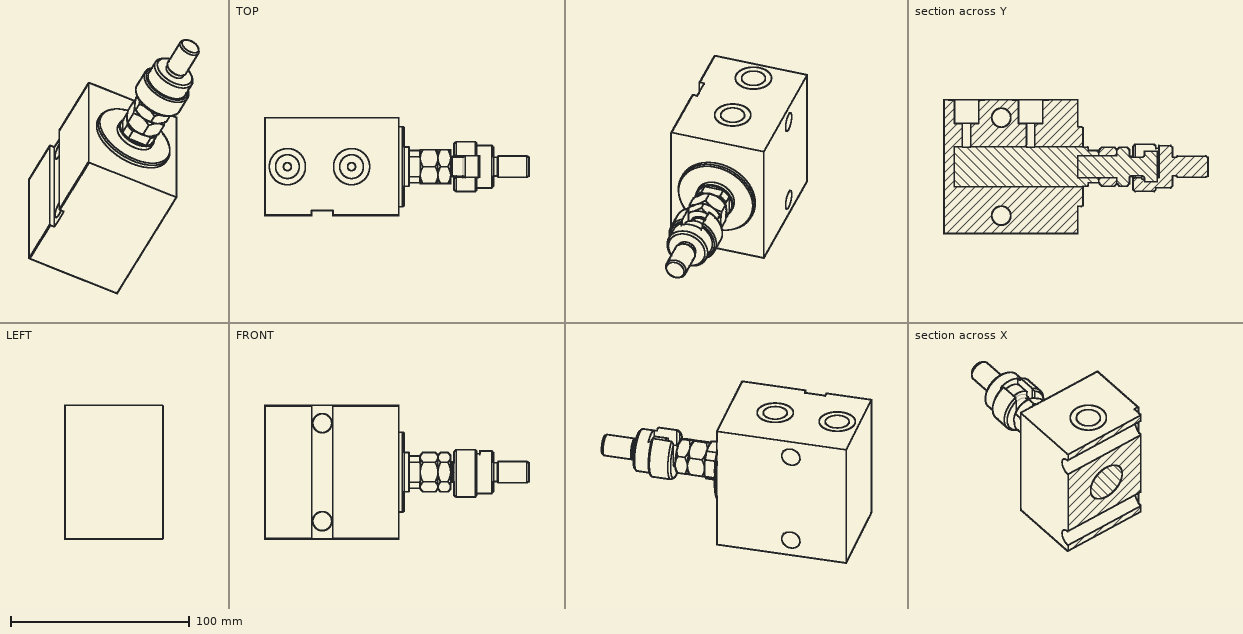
import cadquery as cq
import math


block_length = 75.0
block_depth = 55.0
block_height = 75.0
block_edge_chamfer = 0.5

keyway_center_x = 32.1
keyway_width = 12.0
keyway_depth = 3.0

mount_hole_diameter = 10.5
mount_hole_spacing = 54.9

port_positions_x = (12.6, 48.5)
port_spotface_diameter = 20.3
port_spotface_depth = 0.1
port_thread_diameter = 13.3
port_thread_depth = 13.3
port_feed_diameter = 4.5

flange_diameter = 45.0
flange_thickness = 3.0
flange_chamfer_length = 1.0
flange_chamfer_depth = 0.6

rod_diameter = 22.0
rod_inner_end_x = 5.9
rod_shoulder_length = 3.0
rod_shoulder_x = block_length + flange_thickness + rod_shoulder_length
rod_shoulder_chamfer = 0.5
rod_tip_diameter = 21.3
rod_tip_length = 6.0
rod_tip_chamfer = 0.3
rod_across_flats = 18.2
rod_tip_x = rod_shoulder_x + rod_tip_length

thread_diameter = 12.0
thread_engagement = 11.8
hex_across_flats = 19.1
nut_thickness = 9.9
stud_hex_thickness = 7.1
stud_hex_x = rod_tip_x + nut_thickness
stud_collar_diameter = 11.5
stud_collar_length = 0.9
stud_collar_x = stud_hex_x + stud_hex_thickness
stud_neck_diameter = 10.7
stud_neck_fillet = 1.5
stud_head_diameter = 17.5
stud_head_thickness = 7.3
stud_head_x = 112.3

coupling_x = 105.8
jaw_diameter = 28.0
jaw_length = 12.9
jaw_front_chamfer_length = 1.3
jaw_front_chamfer_depth = 1.0
jaw_rear_chamfer = 0.9
hub_diameter = 24.0
hub_end_x = 128.2
hub_chamfer = 1.2
slot_width = 12.0
slot_end_x = 120.5
slot_mouth_chamfer_depth = 0.6
undercut_diameter = 10.7
undercut_length = 2.0
thread_root_chamfer = 0.6
thread_end_chamfer_length = 1.2
thread_end_chamfer_depth = 0.7
coupling_end_x = 148.0


def axis_plane(x):
    """Workplane square to the rod axis, facing +X, with its first direction along +Z."""
    return cq.Workplane(cq.Plane(origin=(x, 0, 0), xDir=(0, 0, 1), normal=(1, 0, 0)))


def rod_cylinder(start_x, end_x, diameter):
    """Cylinder on the rod axis between two X positions."""
    return axis_plane(start_x).circle(diameter / 2).extrude(end_x - start_x)


def beveled_cylinder(start_x, end_x, diameter, start_bevel=(0, 0), end_bevel=(0, 0)):
    """Cylinder on the rod axis whose rims are bevelled; a bevel is (length along axis, radial depth)."""
    radius = diameter / 2
    start_length, start_depth = start_bevel
    end_length, end_depth = end_bevel
    profile = cq.Workplane("XZ").moveTo(start_x, 0).lineTo(start_x, radius - start_depth)
    if start_length > 0:
        profile = profile.lineTo(start_x + start_length, radius)
    profile = profile.lineTo(end_x - end_length, radius)
    if end_length > 0:
        profile = profile.lineTo(end_x, radius - end_depth)
    return profile.lineTo(end_x, 0).close().revolve(360, (0, 0, 0), (1, 0, 0))


def chamfered_hex(start_x, thickness):
    """Hexagon with corners toward +Z and -Z, its corners bevelled at 45 degrees on both ends."""
    corner_radius = hex_across_flats / math.sqrt(3)
    bevel = corner_radius - hex_across_flats / 2
    hexagon = axis_plane(start_x).polygon(6, 2 * corner_radius).extrude(thickness)
    bevelled_round = rod_cylinder(start_x, start_x + thickness, 2 * corner_radius).edges().chamfer(bevel)
    return hexagon.intersect(bevelled_round)


def make_block():
    block = cq.Workplane("XY").box(block_length, block_depth, block_height, centered=(False, True, True))
    block = block.faces("<Y").edges("|X").chamfer(block_edge_chamfer)

    keyway = (
        cq.Workplane("XY")
        .box(keyway_width, 2 * keyway_depth, block_height)
        .translate((keyway_center_x, -block_depth / 2, 0))
    )
    block = block.cut(keyway)

    mount_holes = (
        cq.Workplane("XZ", origin=(keyway_center_x, 0, 0))
        .pushPoints([(0, -mount_hole_spacing / 2), (0, mount_hole_spacing / 2)])
        .circle(mount_hole_diameter / 2)
        .extrude(block_depth / 2, both=True)
    )
    block = block.cut(mount_holes)

    flange = beveled_cylinder(
        block_length,
        block_length + flange_thickness,
        flange_diameter,
        end_bevel=(flange_chamfer_length, flange_chamfer_depth),
    )
    block = block.union(flange)

    for port_x in port_positions_x:
        block = block.cut(make_port_cutter(port_x))
    return block.cut(rod_cylinder(rod_inner_end_x, block_length + flange_thickness, rod_diameter))


def make_port_cutter(port_x):
    """Spotface, threaded bore and feed hole reaching down into the rod bore."""
    top = cq.Workplane("XY", origin=(port_x, 0, block_height / 2))
    spotface = top.circle(port_spotface_diameter / 2).extrude(-port_spotface_depth)
    thread = top.circle(port_thread_diameter / 2).extrude(-port_thread_depth)
    feed = top.circle(port_feed_diameter / 2).extrude(-block_height / 2)
    return spotface.union(thread).union(feed)


def make_rod():
    shaft = rod_cylinder(rod_inner_end_x, rod_shoulder_x, rod_diameter)
    shaft = shaft.faces(">X").edges().chamfer(rod_shoulder_chamfer)

    tip = rod_cylinder(rod_shoulder_x, rod_tip_x, rod_tip_diameter)
    tip = tip.faces(">X").edges().chamfer(rod_tip_chamfer)
    flats = axis_plane(rod_shoulder_x).rect(rod_across_flats, rod_across_flats).extrude(rod_tip_length)
    rod = shaft.union(tip.intersect(flats))
    return rod.cut(rod_cylinder(rod_tip_x - thread_engagement, rod_tip_x, thread_diameter))


def make_lock_nut():
    nut = chamfered_hex(rod_tip_x, nut_thickness)
    return nut.cut(rod_cylinder(rod_tip_x, stud_hex_x, thread_diameter))


def make_stud():
    neck_x = stud_collar_x + stud_collar_length
    head = rod_cylinder(stud_head_x, stud_head_x + stud_head_thickness, stud_head_diameter)
    headed_neck = rod_cylinder(neck_x, stud_head_x, stud_neck_diameter).union(head)
    root_edge = headed_neck.faces("<X[1]").edges(cq.selectors.RadiusNthSelector(0))
    headed_neck = root_edge.fillet(stud_neck_fillet)

    thread = rod_cylinder(rod_tip_x - thread_engagement, stud_hex_x, thread_diameter)
    collar = rod_cylinder(stud_collar_x, neck_x, stud_collar_diameter)
    return chamfered_hex(stud_hex_x, stud_hex_thickness).union(thread).union(collar).union(headed_neck)


def make_slot_cutter():
    """Round-bottomed slot, open toward +Z, that takes the neck of the stud; its mouth is bevelled."""
    half_width = slot_width / 2
    mouth_half_width = half_width + slot_mouth_chamfer_depth
    mouth_end_x = coupling_x + jaw_front_chamfer_length

    round_bottom = rod_cylinder(coupling_x, slot_end_x, slot_width)
    mouth_cone = cq.Solid.makeCone(
        mouth_half_width,
        half_width,
        jaw_front_chamfer_length,
        pnt=cq.Vector(coupling_x, 0, 0),
        dir=cq.Vector(1, 0, 0),
    )
    open_top = (
        cq.Workplane("XY")
        .moveTo(coupling_x, -mouth_half_width)
        .lineTo(mouth_end_x, -half_width)
        .lineTo(slot_end_x, -half_width)
        .lineTo(slot_end_x, half_width)
        .lineTo(mouth_end_x, half_width)
        .lineTo(coupling_x, mouth_half_width)
        .close()
        .extrude(jaw_diameter)
    )
    return open_top.union(round_bottom).union(cq.Workplane(mouth_cone))


def make_coupling():
    jaw_end_x = coupling_x + jaw_length
    jaw = beveled_cylinder(
        coupling_x,
        jaw_end_x,
        jaw_diameter,
        start_bevel=(jaw_front_chamfer_length, jaw_front_chamfer_depth),
        end_bevel=(jaw_rear_chamfer, jaw_rear_chamfer),
    )
    hub = beveled_cylinder(jaw_end_x, hub_end_x, hub_diameter, end_bevel=(hub_chamfer, hub_chamfer))

    thread_x = hub_end_x + undercut_length
    undercut = rod_cylinder(hub_end_x, thread_x, undercut_diameter)
    thread = beveled_cylinder(
        thread_x,
        coupling_end_x,
        thread_diameter,
        start_bevel=(thread_root_chamfer, thread_root_chamfer),
        end_bevel=(thread_end_chamfer_length, thread_end_chamfer_depth),
    )
    coupling = jaw.union(hub).union(undercut).union(thread)

    head_recess = rod_cylinder(stud_head_x, stud_head_x + stud_head_thickness, stud_head_diameter)
    root_diameter = stud_neck_diameter + 2 * stud_neck_fillet
    root_relief = rod_cylinder(stud_head_x - stud_neck_fillet, stud_head_x, root_diameter)
    return coupling.cut(make_slot_cutter()).cut(head_recess).cut(root_relief)


block = make_block()
rod = make_rod()
lock_nut = make_lock_nut()
stud = make_stud()
coupling = make_coupling()

result = cq.Compound.makeCompound([block.val(), rod.val(), lock_nut.val(), stud.val(), coupling.val()])